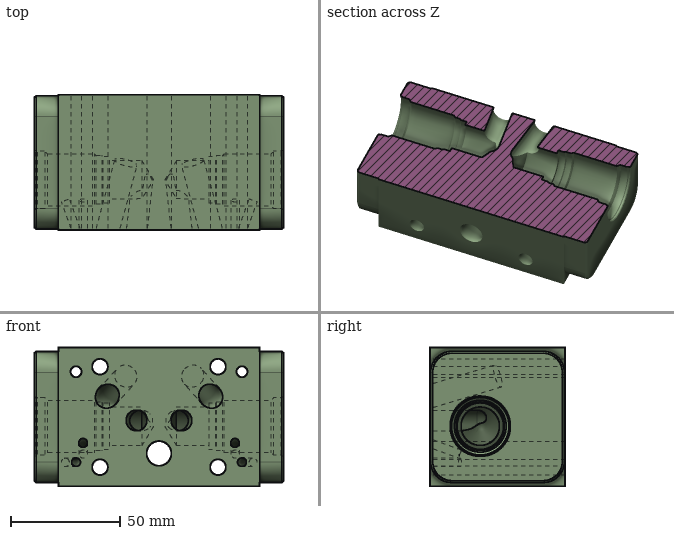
import cadquery as cq
import math

length = 114.3
body_length = 92.0
body_depth = 62.0
body_height = 63.5
cap_depth = 61.0
cap_height = 60.0
cap_corner_radius = 9.5
cap_edge_chamfer = 0.9
front_face = -body_depth / 2
half_length = length / 2

bore_y = -7.9
bore_z = -4.2
mouth_radius = 13.8
rim_radius = 13.5
rim_depth = 1.0
recess_radius = 13.1
recess_depth = 4.8
barrel_radius = 11.9
barrel_depth = 27.4
throat_radius = 11.1
throat_depth = 30.9
seat_radius = 10.6
seat_depth = 34.3
pilot_radius = 8.8
pilot_depth = 49.3
drill_tip_half_angle = math.radians(59)

pressure_hole = (0, -16.7)
pressure_diameter = 11.2
bolt_x = 27.0
bolt_z = 23.0
bolt_diameter = 7.1
pin_x = 38.0
pin_z = 20.7
pin_diameter = 4.9

work_port = (-10.3, -1.6)
work_port_diameter = 9.5
work_port_tilt = 6.5
work_port_depth = 22.0
tank_port = (-23.7, 9.5)
tank_port_diameter = 10.5
tank_port_tilt = 22.0
tank_port_depth = body_depth / 2
tank_port_heading = 48.0
pilot_hole = (-34.7, -11.9)
drain_hole = (-pin_x, -pin_z)
small_diameter = 3.9
small_tilt = 20.0
small_depth = 13.7


def make_cap():
    """Return the left end cap, reaching to the middle of the block."""
    cap = cq.Workplane("XY").box(half_length, cap_depth, cap_height)
    cap = cap.translate((-half_length / 2, 0, 0))
    cap = cap.edges("|X").fillet(cap_corner_radius)
    return cap.faces("<X").chamfer(cap_edge_chamfer)


def make_cavity():
    """Return the left stepped cavity as a revolved cutter with a drill-point end."""
    tip_depth = pilot_depth + pilot_radius / math.tan(drill_tip_half_angle)
    profile = [
        (0, 0),
        (0, mouth_radius),
        (mouth_radius - rim_radius, rim_radius),
        (rim_depth, rim_radius),
        (rim_depth + rim_radius - recess_radius, recess_radius),
        (recess_depth, recess_radius),
        (recess_depth + recess_radius - barrel_radius, barrel_radius),
        (barrel_depth, barrel_radius),
        (barrel_depth + barrel_radius - throat_radius, throat_radius),
        (throat_depth, throat_radius),
        (throat_depth + throat_radius - seat_radius, seat_radius),
        (seat_depth, seat_radius),
        (seat_depth, pilot_radius),
        (pilot_depth, pilot_radius),
        (tip_depth, 0),
    ]
    cavity = cq.Workplane("XY").polyline(profile).close().revolve(360, (0, 0), (1, 0))
    return cavity.translate((-half_length, bore_y, bore_z))


def through_holes(points, diameter):
    """Return cutters running along Y through the body at the given (x, z) points."""
    plane = cq.Workplane("XZ", origin=(0, -front_face, 0))
    return plane.pushPoints(points).circle(diameter / 2).extrude(body_depth)


def slanted_hole(place, diameter, depth, tilt, heading, round_end=False):
    """Return a hole cutter that leans by tilt degrees from +Y.

    The lean points along heading, in degrees from +X towards +Z.
    Depth is measured along Y from the front face, to the end of the cylinder.
    The cutter starts in front of the face so that it opens fully.
    """
    lean = math.tan(math.radians(tilt))
    turn = math.radians(heading)
    axis = cq.Vector(lean * math.cos(turn), 1, lean * math.sin(turn))
    entry = cq.Vector(place[0], front_face, place[1])
    radius = diameter / 2
    start = entry - axis * radius
    end = entry + axis * depth
    drill = cq.Solid.makeCylinder(radius, (end - start).Length, start, axis)
    cutter = cq.Workplane(drill)
    if round_end:
        cutter = cutter.union(cq.Workplane("XY").sphere(radius).translate(end))
    return cutter


def mirrored_pair(shape):
    """Return a shape joined with its mirror image across the YZ plane."""
    return shape.union(shape.mirror("YZ"))


result = cq.Workplane("XY").box(body_length, body_depth, body_height)
result = result.union(mirrored_pair(make_cap()))

result = result.cut(through_holes([pressure_hole], pressure_diameter))
bolt_points = [(sx * bolt_x, sz * bolt_z) for sx in (-1, 1) for sz in (-1, 1)]
result = result.cut(through_holes(bolt_points, bolt_diameter))
pin_points = [(-pin_x, pin_z), (pin_x, pin_z)]
result = result.cut(through_holes(pin_points, pin_diameter))

inward = 0
outward = 180
downward = -90
cutters = [
    make_cavity(),
    slanted_hole(work_port, work_port_diameter, work_port_depth, work_port_tilt, inward, True),
    slanted_hole(tank_port, tank_port_diameter, tank_port_depth, tank_port_tilt, tank_port_heading),
    slanted_hole(pilot_hole, small_diameter, small_depth, small_tilt, downward),
    slanted_hole(drain_hole, small_diameter, small_depth, small_tilt, outward),
]
for cutter in cutters:
    result = result.cut(cutter).cut(cutter.mirror("YZ"))